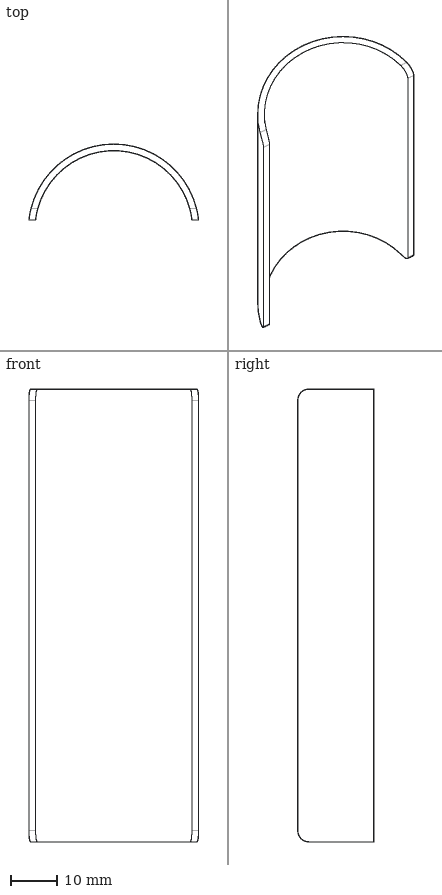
import cadquery as cq

length = 98.0
width = 36.75
depth = 16.5
wall = 1.5
corner_radius = 2.45

outer_radius = ((width / 2) ** 2 + depth**2) / (2 * depth)
inner_radius = outer_radius - wall
edge_offset = outer_radius - depth


def make_tube():
    """Full round tube along Z."""
    return cq.Workplane("XY").circle(outer_radius).circle(inner_radius).extrude(length)


def make_trim_block():
    """Block that keeps the +Y part of the tube and rounds the corners of its long edges."""
    return (
        cq.Workplane("XY")
        .box(2 * outer_radius, depth, length, centered=(True, False, False))
        .translate((0, edge_offset, 0))
        .edges("|X and <Y")
        .fillet(corner_radius)
    )


result = make_tube().intersect(make_trim_block())